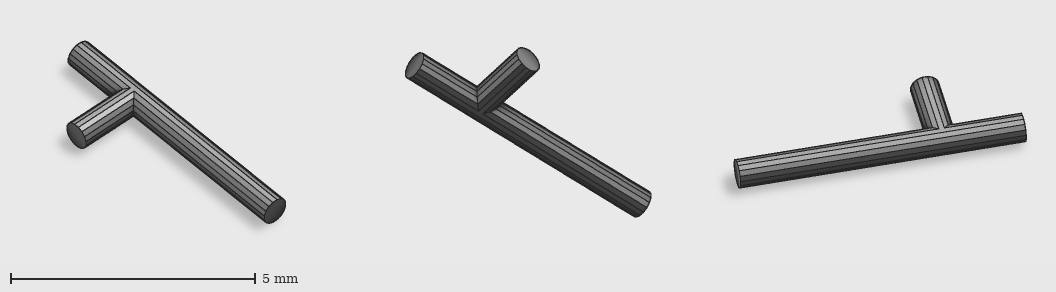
import cadquery as cq
import math

SIDES = 16
CORNER_RADIUS = 0.3
BAR_LENGTH = 6.0
STEM_POSITION = 1.7
STEM_LENGTH = 1.595

HALF_SIDE_ANGLE = math.pi / SIDES


def polygon_bar(plane, length):
    """Extrude the polygon section along the normal of the given plane."""
    corners = []
    for i in range(SIDES):
        angle = (2 * i + 1) * HALF_SIDE_ANGLE
        corners.append((CORNER_RADIUS * math.cos(angle), CORNER_RADIUS * math.sin(angle)))
    return cq.Workplane(plane).polyline(corners).close().extrude(length)


long_bar = polygon_bar("YZ", BAR_LENGTH).translate((-STEM_POSITION, 0, 0))

stem = polygon_bar("XZ", STEM_LENGTH)

result = long_bar.union(stem)